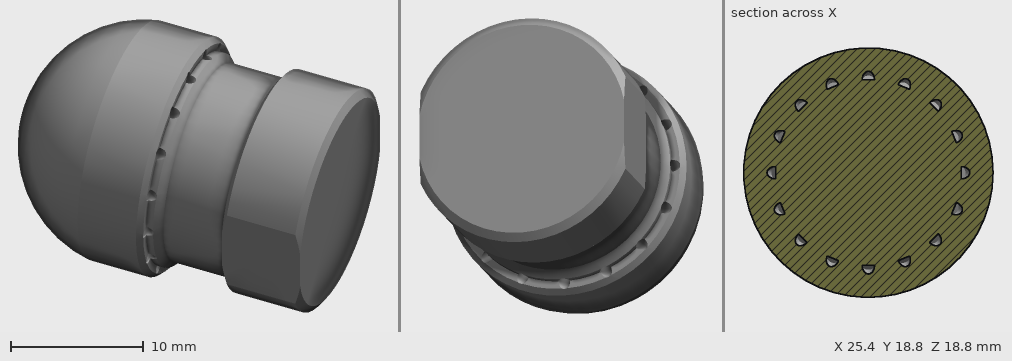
import cadquery as cq
import math

TOTAL_LENGTH = 25.44
DOME_LENGTH = 7.94
COLLAR_END = 13.1
RING_END = 13.66
FLANGE_START = 19.08

COLLAR_DIAMETER = 18.8
RING_DIAMETER = 16.8
NECK_DIAMETER = 15.62
FLANGE_DIAMETER = 17.52

COLLAR_CHAMFER = 0.42
FLANGE_CHAMFER_LENGTH = 0.4
FLANGE_CHAMFER_DROP = 0.62
WIDTH_ACROSS_FLATS = 15.95

JET_COUNT = 16
JET_DIAMETER = 0.89
JET_ANGLE = 45.0
JET_DEPTH = 2.0
JET_OVERRUN = 1.0

COLLAR_RADIUS = COLLAR_DIAMETER / 2
RING_RADIUS = RING_DIAMETER / 2
NECK_RADIUS = NECK_DIAMETER / 2
FLANGE_RADIUS = FLANGE_DIAMETER / 2


def dome_midpoint():
    """Point halfway along the dome arc, whose centre lies on the X axis."""
    dome_radius = (DOME_LENGTH**2 + COLLAR_RADIUS**2) / (2 * DOME_LENGTH)
    half_angle = math.asin(COLLAR_RADIUS / dome_radius) / 2
    return dome_radius * (1 - math.cos(half_angle)), dome_radius * math.sin(half_angle)


def turned_body():
    """Dome, collar, ring, neck and flange revolved about the X axis."""
    cone_length = RING_RADIUS - NECK_RADIUS
    flange_face_radius = FLANGE_RADIUS - FLANGE_CHAMFER_DROP
    return (
        cq.Workplane("XY")
        .moveTo(0, 0)
        .threePointArc(dome_midpoint(), (DOME_LENGTH, COLLAR_RADIUS))
        .lineTo(COLLAR_END - COLLAR_CHAMFER, COLLAR_RADIUS)
        .lineTo(COLLAR_END, COLLAR_RADIUS - COLLAR_CHAMFER)
        .lineTo(COLLAR_END, RING_RADIUS)
        .lineTo(RING_END, RING_RADIUS)
        .lineTo(RING_END + cone_length, NECK_RADIUS)
        .lineTo(FLANGE_START, NECK_RADIUS)
        .lineTo(FLANGE_START, flange_face_radius)
        .lineTo(FLANGE_START + FLANGE_CHAMFER_LENGTH, FLANGE_RADIUS)
        .lineTo(TOTAL_LENGTH - FLANGE_CHAMFER_LENGTH, FLANGE_RADIUS)
        .lineTo(TOTAL_LENGTH, flange_face_radius)
        .lineTo(TOTAL_LENGTH, 0)
        .close()
        .revolve(360, (0, 0, 0), (1, 0, 0))
    )


def cut_wrench_flats(body):
    """Two parallel flats on the flange, facing -Y and +Y."""
    flange_length = TOTAL_LENGTH - FLANGE_START
    flange_middle = (FLANGE_START + TOTAL_LENGTH) / 2
    flat_depth = (FLANGE_DIAMETER - WIDTH_ACROSS_FLATS) / 2
    for side in (-1, 1):
        cutter = cq.Workplane("XY").box(flange_length, flat_depth, FLANGE_DIAMETER)
        offset = side * (WIDTH_ACROSS_FLATS + flat_depth) / 2
        body = body.cut(cutter.translate((flange_middle, offset, 0)))
    return body


def cut_jets(body):
    """Blind holes slanting forward and inward from the corner of ring and collar."""
    tilt = math.radians(JET_ANGLE)
    inward = cq.Vector(-math.cos(tilt), 0, -math.sin(tilt))
    mouth = cq.Vector(COLLAR_END, 0, RING_RADIUS)
    jet = cq.Solid.makeCylinder(
        JET_DIAMETER / 2,
        JET_DEPTH + JET_OVERRUN,
        mouth - inward * JET_OVERRUN,
        inward,
    )
    for index in range(JET_COUNT):
        angle = index * 360 / JET_COUNT
        body = body.cut(cq.Workplane(jet.rotate(cq.Vector(0, 0, 0), cq.Vector(1, 0, 0), angle)))
    return body


result = cut_jets(cut_wrench_flats(turned_body()))